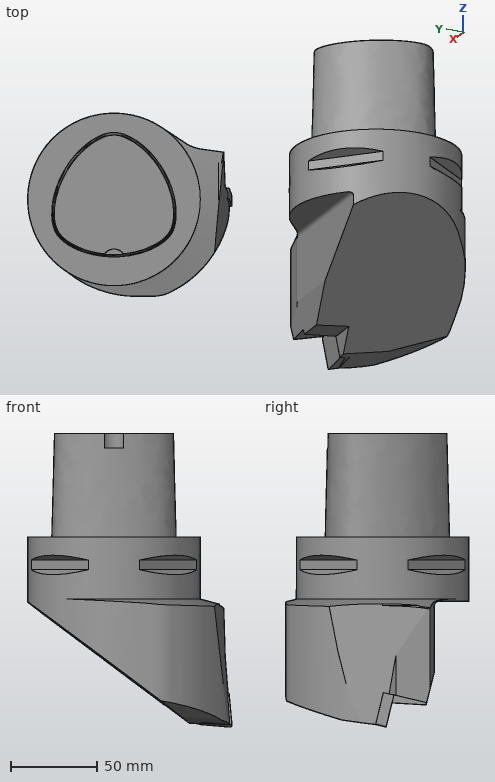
import cadquery as cq
import math

SHANK_HEIGHT = 60.0
SHANK_RADIUS = 36.0
LOBE = 2.7
SHANK_TAPER = 1.5
NOTCH_RADIUS = 6.6
NOTCH_CENTRE_Y = -35.4
NOTCH_DEPTH = 8.5

FLANGE_RADIUS = 50.0
FLANGE_HEIGHT = 35.9
GROOVE_FLOOR_RADIUS = 44.2
GROOVE_MIDDLE_Z = -16.2
GROOVE_FLOOR_HEIGHT = 5.5
GROOVE_MOUTH_HEIGHT = 11.2

NECK_BOTTOM_Z = -119.0
ROOF_ANGLE = 15.0
SLANT_START_Z = -37.5
SLANT_SLOPE = 0.75
SLANT_TILT = 0.012
BACK_Y = 30.0
BACK_FILLET = 2.7
BACK_TOP_Z = -37.2
END_X = 61.0
END_Z = -40.0
END_SLOPE = 0.093
SHOULDER_X = 64.1
SHOULDER_Z = -39.6
SHOULDER_RADIUS = 3.7
SHOULDER_FRONT_Y = 0.0
RELIEF_FACES = [((66.3, 2.2, -109.3), 0.12), ((40.8, -24.5, -104.2), 0.27)]
RELIEF_FALL = 0.07

TIP = (68.3, 2.0, -110.2)
INSERT_EDGE = 19.2
INSERT_THICKNESS = 6.3
INSERT_ANGLE = 80.0
INSERT_LEAD = 5.0
INSERT_NOSE = 1.2
INSERT_LEAN = 13.5
POCKET_OPENING = 27.2

BIG = 204.0


def shank_section(radius, z):
    """Closed constant-width curve whose support distance is radius + LOBE * cos(3 * angle)."""
    def point(angle):
        along = radius * math.cos(angle) + 2 * LOBE * math.cos(2 * angle) - LOBE * math.cos(4 * angle)
        across = radius * math.sin(angle) - 2 * LOBE * math.sin(2 * angle) - LOBE * math.sin(4 * angle)
        return cq.Vector(-across, along, z)

    count = 36
    points = [point(2 * math.pi * i / count) for i in range(count)]
    return cq.Wire.assembleEdges([cq.Edge.makeSpline(points, periodic=True)])


def make_shank():
    lower = shank_section(SHANK_RADIUS, 0)
    upper = shank_section(SHANK_RADIUS - SHANK_TAPER, SHANK_HEIGHT)
    shank = cq.Workplane(cq.Solid.makeLoft([lower, upper], True))
    notch = (cq.Workplane("XY", origin=(0, NOTCH_CENTRE_Y, SHANK_HEIGHT - NOTCH_DEPTH))
             .circle(NOTCH_RADIUS).extrude(NOTCH_DEPTH))
    return shank.cut(notch)


def make_flange():
    flange = cq.Workplane("XY").circle(FLANGE_RADIUS).extrude(-FLANGE_HEIGHT)
    depth = FLANGE_RADIUS - GROOVE_FLOOR_RADIUS
    floor = GROOVE_FLOOR_HEIGHT / 2
    mouth = GROOVE_MOUTH_HEIGHT / 2
    groove = (cq.Workplane("XZ", origin=(GROOVE_FLOOR_RADIUS, 0, GROOVE_MIDDLE_Z))
              .polyline([(0, -floor), (depth, -mouth), (depth, mouth), (0, floor)]).close()
              .extrude(FLANGE_RADIUS, both=True))
    for angle in (45, 135, 225, 315):
        flange = flange.cut(groove.rotate((0, 0, 0), (0, 0, 1), angle))
    return flange


def half_space(origin, normal):
    """Large block on the side of a plane that its normal points to."""
    return cq.Workplane(cq.Plane(origin=origin, normal=normal)).rect(2 * BIG, 2 * BIG).extrude(BIG)


def neck_blank():
    """Plan outline of the neck, bulging past the flange toward +X and -Y."""
    leave_x = -27.2
    leave = (leave_x, -math.sqrt(FLANGE_RADIUS ** 2 - leave_x ** 2))
    join_x = 26.7
    join = (join_x, math.sqrt(FLANGE_RADIUS ** 2 - join_x ** 2))
    return (cq.Workplane("XY", origin=(0, 0, NECK_BOTTOM_Z))
            .moveTo(*leave)
            .threePointArc((-6.8, -53.0), (15.8, -56.1))
            .lineTo(23.0, -56.1)
            .threePointArc((28.0, -55.5), (33.0, -53.5))
            .threePointArc((56.1, -34.0), (66.6, -9.9))
            .lineTo(67.0, 1.7)
            .lineTo(64.5, 7.6)
            .lineTo(63.5, 27.4)
            .lineTo(51.0, 29.0)
            .threePointArc((45.5, 30.5), (40.3, 33.3))
            .lineTo(*join)
            .threePointArc((-FLANGE_RADIUS, 0), leave)
            .close().extrude(-FLANGE_HEIGHT - NECK_BOTTOM_Z))


def roof():
    """Revolved envelope whose top falls away conically outside the flange."""
    outer = 2 * FLANGE_RADIUS
    drop = (outer - FLANGE_RADIUS) * math.tan(math.radians(ROOF_ANGLE))
    return (cq.Workplane("XZ")
            .polyline([(0, NECK_BOTTOM_Z), (outer, NECK_BOTTOM_Z), (outer, -FLANGE_HEIGHT - drop),
                       (FLANGE_RADIUS, -FLANGE_HEIGHT), (0, -FLANGE_HEIGHT)])
            .close().revolve(360, (0, 0), (0, 1)))


def back_clearance():
    """Space behind the +Y wall and in front of the insert."""
    lean_start = (BACK_Y, -78.4)
    heel = (25.2, -97.2)
    seat_z = -96.0
    lean = math.tan(math.radians(INSERT_LEAN))
    seat_y = TIP[1] + (seat_z - TIP[2]) * lean
    bottom_y = TIP[1] + (NECK_BOTTOM_Z - TIP[2]) * lean
    corner = BACK_FILLET * (1 - math.sqrt(0.5))
    return (cq.Workplane("YZ", origin=(-BIG, 0, 0))
            .moveTo(BACK_Y + BACK_FILLET, BACK_TOP_Z)
            .threePointArc((BACK_Y + corner, BACK_TOP_Z - corner), (BACK_Y, BACK_TOP_Z - BACK_FILLET))
            .lineTo(*lean_start)
            .lineTo(*heel)
            .lineTo(seat_y, seat_z)
            .lineTo(bottom_y, NECK_BOTTOM_Z)
            .lineTo(BIG, NECK_BOTTOM_Z)
            .lineTo(BIG, BACK_TOP_Z)
            .close().extrude(2 * BIG))


def shoulder_clearance():
    """Waste outside the rounded upper corner of the end."""
    inner_x = SHOULDER_X - SHOULDER_RADIUS
    low_z = SHOULDER_Z - SHOULDER_RADIUS
    bulge = SHOULDER_RADIUS * math.sqrt(0.5)
    return (cq.Workplane("XZ", origin=(0, SHOULDER_FRONT_Y, 0))
            .moveTo(inner_x, SHOULDER_Z)
            .threePointArc((inner_x + bulge, low_z + bulge), (SHOULDER_X, low_z))
            .lineTo(FLANGE_RADIUS * 2, low_z)
            .lineTo(FLANGE_RADIUS * 2, 0)
            .lineTo(inner_x, 0)
            .close().extrude(-FLANGE_RADIUS))


def make_neck():
    neck = neck_blank().intersect(roof())
    neck = neck.cut(half_space((-FLANGE_RADIUS, 0, SLANT_START_Z), (-SLANT_SLOPE, -SLANT_TILT, -1)))
    neck = neck.cut(half_space((END_X, 0, END_Z), (1, -END_SLOPE, END_SLOPE)))
    for origin, rise in RELIEF_FACES:
        neck = neck.cut(half_space(origin, (-RELIEF_FALL, -rise, -1)))
    return neck.cut(back_clearance()).cut(shoulder_clearance())


def insert_prism(front, back):
    """Rhombic prism reaching front and back of its rake plane, leaned into place at TIP."""
    bottom = math.radians(180 - INSERT_LEAD)
    side = bottom - math.radians(INSERT_ANGLE)
    a = (INSERT_EDGE * math.cos(bottom), INSERT_EDGE * math.sin(bottom))
    b = (INSERT_EDGE * math.cos(side), INSERT_EDGE * math.sin(side))
    prism = (cq.Workplane("XZ", origin=(0, front, 0))
             .polyline([(0, 0), a, (a[0] + b[0], a[1] + b[1]), b]).close()
             .extrude(front + back).edges("|Y").fillet(INSERT_NOSE))
    return prism.rotate((0, 0, 0), (1, 0, 0), -INSERT_LEAN).translate(TIP)


def make_holder():
    holder = make_shank().union(make_flange()).union(make_neck())
    return holder.cut(insert_prism(POCKET_OPENING, INSERT_THICKNESS))


holder = make_holder()
insert = insert_prism(0, INSERT_THICKNESS)

result = cq.Compound.makeCompound([holder.solids().val(), insert.solids().val()])